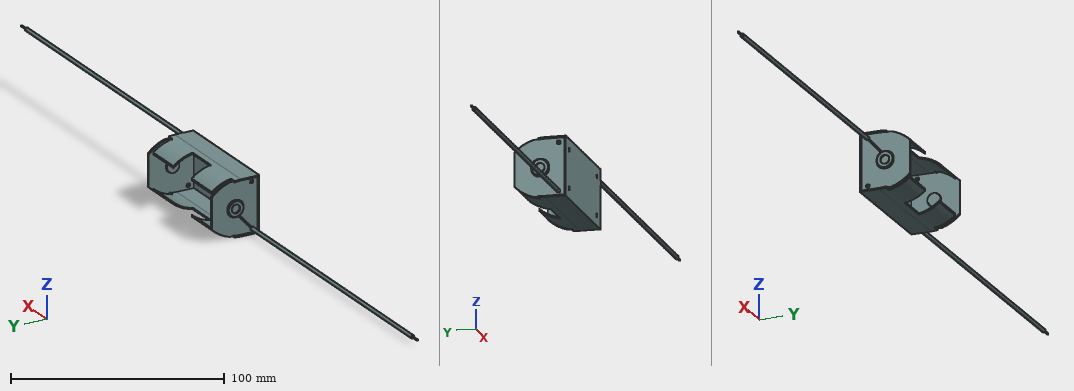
import cadquery as cq
import math

OVERALL_LENGTH = 371.2
SHELL_LENGTH = 62.0
DEPTH = 25.2
HEIGHT = 29.5

SIDE_LINE_Y = -2.5
SIDE_ARC_RADIUS = 21.5

SHEET_THICKNESS = 0.7
LIP_Y = 11.0
NOTCH_FLOOR_Y = 0.7
NOTCH_LENGTH = 17.0
BARREL_END_X = 27.5
MOUNT_HOLE_DIAMETER = 2.0
MOUNT_HOLE_SPACING_X = 49.5
MOUNT_HOLE_SPACING_Z = 19.0

PLATE_RECESS = 0.7
PLATE_THICKNESS = 1.0

HEAD_RADIUS = 4.5
SHANK_RADIUS = 2.2
DIMPLE_RADIUS = 2.2
HEAD_CHAMFER = 0.55
DIMPLE_DEPTH = 0.5
INNER_HEAD_RADIUS = 3.5
INNER_HEAD_THICKNESS = 1.0

LEAD_Y = -9.0
LEAD_Z = 12.0
INSULATION_DIAMETER = 2.0
WIRE_DIAMETER = 0.7
BARE_TIP_LENGTH = 4.5
SOLDER_ANGLE = 245

END_X = SHELL_LENGTH / 2
PLATE_OUTER_X = END_X - PLATE_RECESS
PLATE_INNER_X = PLATE_OUTER_X - PLATE_THICKNESS
FRONT_Y = -DEPTH / 2
BACK_Y = DEPTH / 2
SIDE_Z = HEIGHT / 2
INNER_FRONT_Y = FRONT_Y + SHEET_THICKNESS
INNER_SIDE_Z = SIDE_Z - SHEET_THICKNESS
INSULATION_RADIUS = INSULATION_DIAMETER / 2
WIRE_RADIUS = WIRE_DIAMETER / 2
LEAD_TIP_X = OVERALL_LENGTH / 2


def box(x_range, y_range, z_range):
    """Block between the given lower and upper limits."""
    ranges = (x_range, y_range, z_range)
    sizes = [high - low for low, high in ranges]
    corner = tuple(low for low, high in ranges)
    return cq.Workplane("XY").box(*sizes, centered=False).translate(corner)


def rod(x_start, x_end, y, z, radius):
    """Round rod parallel to X."""
    return cq.Workplane("YZ", origin=(x_start, y, z)).circle(radius).extrude(x_end - x_start)


def at_end(left_body, end):
    """Left-hand body in place for end 0, or turned half a turn about Y for end 1."""
    return left_body.rotate((0, 0, 0), (0, 1, 0), 180 * end)


def profile_prism(x_start, x_end, inset):
    """Prism of the holder's cross-section with its front, sides and arcs moved in by the inset."""
    radius = SIDE_ARC_RADIUS - inset
    front_y = FRONT_Y + inset
    side_z = SIDE_Z - inset
    mid_y = (SIDE_LINE_Y + BACK_Y) / 2

    def arc_z(y):
        return SIDE_Z - SIDE_ARC_RADIUS + math.sqrt(radius**2 - (y - SIDE_LINE_Y) ** 2)

    return (
        cq.Workplane("YZ", origin=(x_start, 0, 0))
        .moveTo(front_y, -side_z)
        .lineTo(SIDE_LINE_Y, -side_z)
        .threePointArc((mid_y, -arc_z(mid_y)), (BACK_Y, -arc_z(BACK_Y)))
        .lineTo(BACK_Y, arc_z(BACK_Y))
        .threePointArc((mid_y, arc_z(mid_y)), (SIDE_LINE_Y, side_z))
        .lineTo(front_y, side_z)
        .close()
        .extrude(x_end - x_start)
    )


def make_shell():
    full_z = (-SIDE_Z, SIDE_Z)
    shell = profile_prism(-END_X, END_X, 0).cut(profile_prism(-END_X, END_X, SHEET_THICKNESS))
    shell = shell.cut(box((-END_X, END_X), (LIP_Y, BACK_Y), full_z))

    gaps = (
        (-END_X, -BARREL_END_X),
        (-NOTCH_LENGTH / 2, NOTCH_LENGTH / 2),
        (BARREL_END_X, END_X),
    )
    for gap in gaps:
        shell = shell.cut(box(gap, (NOTCH_FLOOR_Y, BACK_Y), full_z))

    mount_holes = (
        cq.Workplane("XZ", origin=(0, INNER_FRONT_Y, 0))
        .rarray(MOUNT_HOLE_SPACING_X, MOUNT_HOLE_SPACING_Z, 2, 2)
        .circle(MOUNT_HOLE_DIAMETER / 2)
        .extrude(SHEET_THICKNESS)
    )
    return shell.cut(mount_holes)


def make_end_plate():
    """Left end plate: fits inside the shell with a lead hole near both front corners."""
    x_range = (-PLATE_OUTER_X, -PLATE_INNER_X)
    plate = profile_prism(*x_range, 0)
    plate = plate.intersect(box(x_range, (INNER_FRONT_Y, BACK_Y), (-INNER_SIDE_Z, INNER_SIDE_Z)))
    sheet = profile_prism(*x_range, 0).cut(profile_prism(*x_range, SHEET_THICKNESS))
    plate = plate.cut(sheet.intersect(box(x_range, (FRONT_Y, NOTCH_FLOOR_Y), (-SIDE_Z, SIDE_Z))))

    for hole_z in (-LEAD_Z, LEAD_Z):
        plate = plate.cut(rod(*x_range, LEAD_Y, hole_z, INSULATION_RADIUS))
    return plate.cut(rod(*x_range, 0, 0, SHANK_RADIUS))


def make_contact():
    """Left contact rivet: outer head, shank through the plate and inner head, dimpled on the outer face."""
    inner_x = -PLATE_INNER_X + INNER_HEAD_THICKNESS
    contact = rod(-END_X, -PLATE_OUTER_X, 0, 0, HEAD_RADIUS)
    contact = contact.faces("<X").chamfer(HEAD_CHAMFER)
    contact = contact.union(rod(-PLATE_OUTER_X, -PLATE_INNER_X, 0, 0, SHANK_RADIUS))
    contact = contact.union(rod(-PLATE_INNER_X, inner_x, 0, 0, INNER_HEAD_RADIUS))
    return contact.cut(rod(-END_X, -END_X + DIMPLE_DEPTH, 0, 0, DIMPLE_RADIUS))


def make_lead():
    """Left lead: insulated wire with a bare tip, and a bare strand lying on the plate to the contact."""
    insulation_x = -LEAD_TIP_X + BARE_TIP_LENGTH
    lead = rod(-LEAD_TIP_X, insulation_x, LEAD_Y, -LEAD_Z, WIRE_RADIUS)
    lead = lead.union(rod(insulation_x, -PLATE_INNER_X, LEAD_Y, -LEAD_Z, INSULATION_RADIUS))

    angle = math.radians(SOLDER_ANGLE)
    start = cq.Vector(-PLATE_OUTER_X - WIRE_RADIUS, LEAD_Y, -LEAD_Z)
    end = cq.Vector(start.x, HEAD_RADIUS * math.cos(angle), HEAD_RADIUS * math.sin(angle))
    run = end - start
    strand_plane = cq.Plane(start, (1, 0, 0), run)
    strand = cq.Workplane(strand_plane).circle(WIRE_RADIUS).extrude(run.Length + WIRE_DIAMETER)
    return lead.union(strand.cut(rod(-END_X, -PLATE_OUTER_X, 0, 0, HEAD_RADIUS)))


shell = make_shell()
end_plates = [at_end(make_end_plate(), end) for end in range(2)]
contacts = [at_end(make_contact(), end) for end in range(2)]
leads = [at_end(make_lead(), end) for end in range(2)]

bodies = [shell, *end_plates, *contacts, *leads]
result = cq.Compound.makeCompound([body.val() for body in bodies])